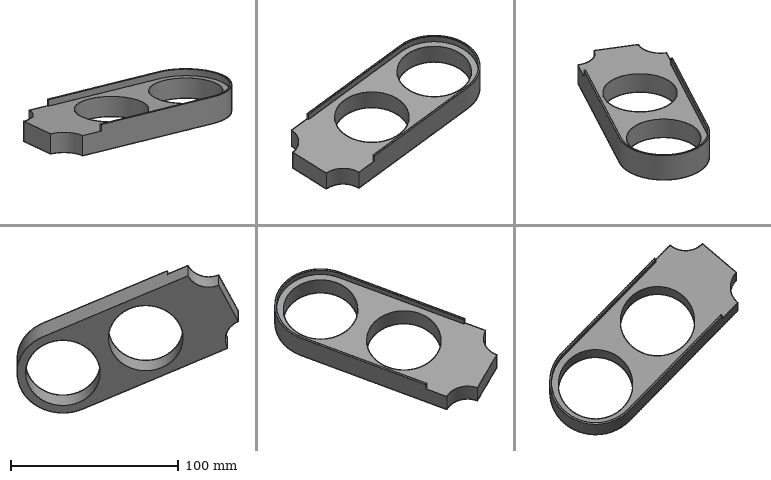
import cadquery as cq

length = 137.5
width = 55.0
total_height = 17.0
rim_height = 4.1
rim_thickness = 1.1
hole_diameter = 44.5
hole_spacing = 55.0
corner_cut_radius = 13.8
open_end_length = 27.5

end_radius = width / 2
plate_height = total_height - rim_height
square_end_y = end_radius - length
rim_end_y = square_end_y + open_end_length


def tongue(radius, end_y, height):
    """Solid with a half-round end about the origin and a square end at end_y."""
    return (
        cq.Workplane("XY")
        .moveTo(-radius, end_y)
        .lineTo(radius, end_y)
        .lineTo(radius, 0)
        .threePointArc((0, radius), (-radius, 0))
        .close()
        .extrude(height)
    )


def plate():
    """Plate with two through holes and concave corners at the square end."""
    body = tongue(end_radius, square_end_y, plate_height)
    holes = (
        cq.Workplane("XY")
        .pushPoints([(0, 0), (0, -hole_spacing)])
        .circle(hole_diameter / 2)
        .extrude(plate_height)
    )
    corner_cuts = (
        cq.Workplane("XY")
        .pushPoints([(-end_radius, square_end_y), (end_radius, square_end_y)])
        .circle(corner_cut_radius)
        .extrude(plate_height)
    )
    return body.cut(holes).cut(corner_cuts)


def rim():
    """Thin U-shaped wall that stands on the plate edge and is open at the square end."""
    outer = tongue(end_radius, rim_end_y, rim_height)
    inner = tongue(end_radius - rim_thickness, rim_end_y, rim_height)
    return outer.cut(inner).translate((0, 0, plate_height))


result = plate().union(rim())